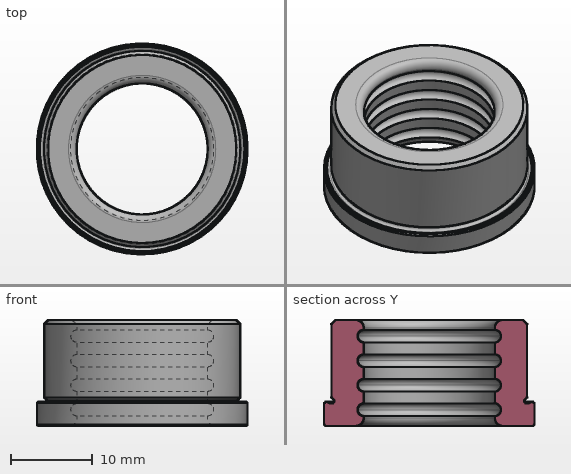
import cadquery as cq
import math

height = 13.0
bore_radius = 8.0
bore_rounding = 1.0

flange_radius = 12.9
flange_height = 3.0
flange_chamfer = 0.2

body_radius = 12.0
body_chamfer = 0.5

relief_top_gap = 0.5
relief_depth = 0.36
relief_rounding = 0.35
relief_outer_radius = 12.5
relief_slope = math.radians(27)

groove_radius = 0.75
groove_pitch = 3.0
groove_count = 4


def arc_point(center, radius, angle):
    """Point on a circle, as (radius from the axis, height)."""
    return (center[0] + radius * math.cos(angle), center[1] + radius * math.sin(angle))


def make_ring():
    """Revolve the ring with its flange, chamfers and rounded bore ends."""
    mouth_radius = bore_radius + bore_rounding
    top_center = (mouth_radius, height - bore_rounding)
    bottom_center = (mouth_radius, bore_rounding)
    profile = (
        cq.Workplane("XZ")
        .moveTo(mouth_radius, 0)
        .lineTo(flange_radius - flange_chamfer, 0)
        .lineTo(flange_radius, flange_chamfer)
        .lineTo(flange_radius, flange_height - flange_chamfer)
        .lineTo(flange_radius - flange_chamfer, flange_height)
        .lineTo(body_radius, flange_height)
        .lineTo(body_radius, height - body_chamfer)
        .lineTo(body_radius - body_chamfer, height)
        .lineTo(mouth_radius, height)
        .threePointArc(
            arc_point(top_center, bore_rounding, math.radians(135)),
            (bore_radius, height - bore_rounding),
        )
        .lineTo(bore_radius, bore_rounding)
        .threePointArc(
            arc_point(bottom_center, bore_rounding, math.radians(225)),
            (mouth_radius, 0),
        )
        .close()
    )
    return profile.revolve(360, (0, 0, 0), (0, 1, 0))


def make_relief_cutter():
    """Ring that undercuts both the body wall and the flange face at their corner."""
    inner_radius = body_radius - relief_depth
    relief_top = flange_height + relief_top_gap

    start_angle = math.pi
    end_angle = 1.5 * math.pi + relief_slope
    center_radius = inner_radius + relief_rounding
    floor_radius = center_radius + relief_rounding * math.cos(end_angle)
    floor_height = flange_height - (relief_outer_radius - floor_radius) * math.tan(relief_slope)
    center = (center_radius, floor_height - relief_rounding * math.sin(end_angle))

    profile = (
        cq.Workplane("XZ")
        .moveTo(body_radius, relief_top)
        .lineTo(inner_radius, relief_top - relief_depth)
        .lineTo(*arc_point(center, relief_rounding, start_angle))
        .threePointArc(
            arc_point(center, relief_rounding, (start_angle + end_angle) / 2),
            (floor_radius, floor_height),
        )
        .lineTo(relief_outer_radius, flange_height)
        .lineTo(relief_outer_radius, relief_top)
        .close()
    )
    return profile.revolve(360, (0, 0, 0), (0, 1, 0))


def cut_bore_grooves(body):
    """Cut evenly spaced half-round grooves into the bore wall."""
    lowest = height / 2 - groove_pitch * (groove_count - 1) / 2
    for index in range(groove_count):
        level = lowest + index * groove_pitch
        ring = cq.Solid.makeTorus(bore_radius, groove_radius, cq.Vector(0, 0, level))
        body = body.cut(cq.Workplane(ring))
    return body


result = make_ring().cut(make_relief_cutter())
result = cut_bore_grooves(result)